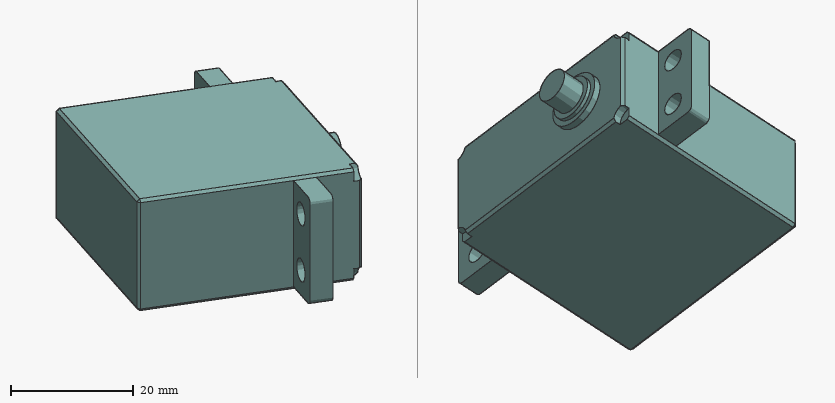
import cadquery as cq

case_width = 40.0
case_length = 39.0
case_height = 20.0
case_chamfer = 0.5

relief_radius = 2.2
relief_depth = 1.45

ear_span = 56.0
ear_height = case_height - 2 * case_chamfer
ear_thickness = 4.0
ear_setback = 7.95
ear_corner_radius = 1.0
ear_hole_diameter = 4.0
ear_hole_edge_distance = 4.5
ear_hole_pitch = 10.0

shaft_x = -9.5
shaft_steps = [
    (10.0, 1.2),
    (8.0, 1.85),
    (6.0, 6.05),
]


def y_cylinder(x, z, radius, start_y, end_y):
    """Cylinder parallel to Y, from start_y up to end_y."""
    return cq.Workplane(
        cq.Solid.makeCylinder(radius, end_y - start_y, cq.Vector(x, start_y, z), cq.Vector(0, 1, 0))
    )


def make_case():
    case = (
        cq.Workplane("XY")
        .box(case_width, case_length, case_height)
        .edges()
        .chamfer(case_chamfer)
        .translate((0, -case_length / 2, 0))
    )
    for x in (-case_width / 2, case_width / 2):
        for z in (-case_height / 2, case_height / 2):
            case = case.cut(y_cylinder(x, z, relief_radius, -relief_depth, 0))
    return case


def make_ears():
    front_y = -ear_setback - ear_thickness
    back_y = -ear_setback
    ears = (
        cq.Workplane("XY")
        .box(ear_span, ear_thickness, ear_height)
        .edges("|Y")
        .fillet(ear_corner_radius)
        .translate((0, (front_y + back_y) / 2, 0))
    )
    hole_x = ear_span / 2 - ear_hole_edge_distance
    for x in (-hole_x, hole_x):
        for z in (-ear_hole_pitch / 2, ear_hole_pitch / 2):
            ears = ears.cut(y_cylinder(x, z, ear_hole_diameter / 2, front_y, back_y))
    return ears


result = make_case().union(make_ears())
for diameter, reach in shaft_steps:
    result = result.union(y_cylinder(shaft_x, 0, diameter / 2, -case_chamfer, reach))